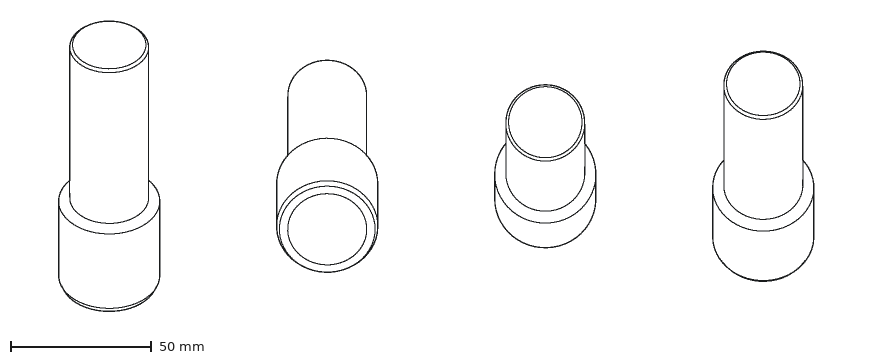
import cadquery as cq

total_length = 110.0
shank_diameter = 28.0
shank_chamfer = 1.0

sleeve_diameter = 36.0
sleeve_length = 38.6
shoulder_height = 1.5
base_diameter = 34.0
base_taper_height = 2.3

shank_radius = shank_diameter / 2
sleeve_radius = sleeve_diameter / 2
base_radius = base_diameter / 2


def make_shank():
    """Straight round shank running the full length, chamfered at the top."""
    return cq.Workplane("XY").circle(shank_radius).extrude(total_length).faces(">Z").chamfer(shank_chamfer)


def make_sleeve():
    """Ring around the lower shank, with a sloped shoulder and a tapered base."""
    return (
        cq.Workplane("XZ")
        .moveTo(shank_radius, 0)
        .lineTo(base_radius, 0)
        .lineTo(sleeve_radius, base_taper_height)
        .lineTo(sleeve_radius, sleeve_length - shoulder_height)
        .lineTo(shank_radius, sleeve_length)
        .close()
        .revolve(360, (0, 0, 0), (0, 1, 0))
    )


shank = make_shank()
sleeve = make_sleeve()

result = cq.Compound.makeCompound([shank.val(), sleeve.val()])